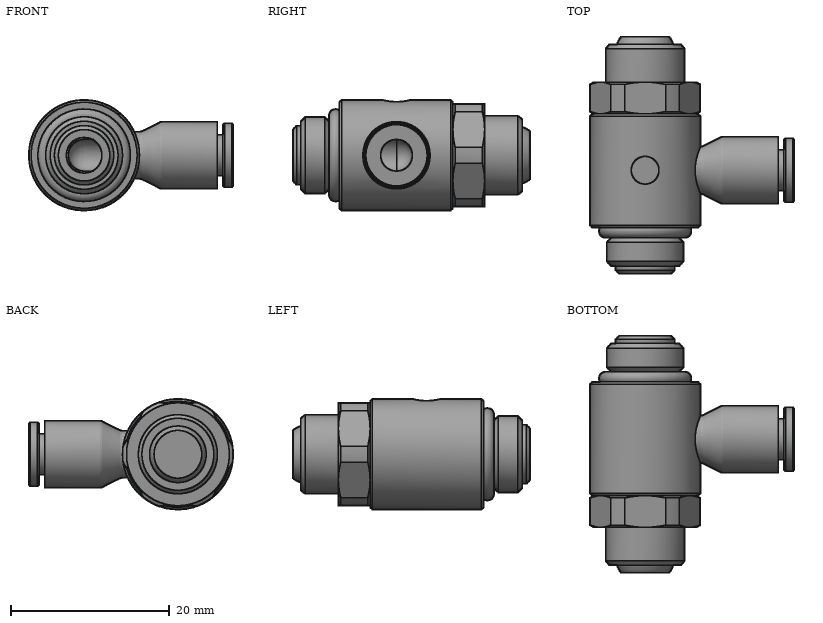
import cadquery as cq
import math


body_radius = 7.0
body_back_y = 7.13
body_front_y = -7.24
body_chamfer = 0.3

hex_across_flats = 13.0
hex_length = 4.0
hex_back_y = body_back_y + hex_length
hex_chamfer_angle = 30.0
hex_half_angle = 180.0 / 6

housing_radius = 5.0
housing_back_y = 15.9
housing_chamfer_width = 0.45
housing_chamfer_length = 0.55
screw_base_radius = 3.58
screw_shoulder_radius = 3.48
screw_shoulder_length = 0.25
screw_edge_radius = 3.25
screw_edge_length = 0.7
screw_tip_radius = 3.02
screw_length = 1.0
screw_back_y = housing_back_y + screw_length

ring_centre_radius = 5.0
ring_section_radius = 0.85
ring_centre_gap = 0.45

groove_radius = 4.2
stem_radius = 4.865
stem_back_y = -8.52
stem_front_y = -12.1
stem_chamfer = 0.57
nose_radius = 3.75
nose_chamfer = 0.5
nose_front_y = -13.11

branch_neck_radius = 3.0
branch_cone_start_x = 7.2
branch_cone_end_x = 9.7
branch_radius = 4.25
branch_end_x = 16.85
branch_blend_radius = 0.5

collar_neck_radius = 2.62
collar_radius = 4.07
collar_start_x = 17.54
collar_end_x = 18.84
collar_chamfer = 0.2

stem_bore_radius = 2.25
branch_bore_radius = 2.0

recess_radius = 1.75
recess_floor_z = 6.6


def revolve_about_y(points):
    """Solid of revolution about Y from (radius, y) points."""
    profile = cq.Workplane("XY").polyline(points).close()
    return profile.revolve(360, (0, 0, 0), (0, 1, 0))


def cylinder_along_x(radius, start_x, end_x):
    return cq.Workplane("YZ", origin=(start_x, 0, 0)).circle(radius).extrude(end_x - start_x)


def cylinder_along_y(radius, start_y, end_y):
    return cq.Workplane("XZ", origin=(0, end_y, 0)).circle(radius).extrude(end_y - start_y)


def make_body():
    body = cylinder_along_y(body_radius, body_front_y, body_back_y)
    return body.edges("%CIRCLE").chamfer(body_chamfer)


def make_hexagon():
    flat_distance = hex_across_flats / 2
    corner_diameter = hex_across_flats / math.cos(math.radians(hex_half_angle))
    prism = (
        cq.Workplane("XZ", origin=(0, hex_back_y, 0))
        .polygon(6, corner_diameter)
        .extrude(hex_length)
    )
    chamfer_width = body_radius - flat_distance
    chamfer_length = chamfer_width * math.tan(math.radians(hex_chamfer_angle))
    envelope = revolve_about_y([
        (0, body_back_y),
        (flat_distance, body_back_y),
        (body_radius, body_back_y + chamfer_length),
        (body_radius, hex_back_y - chamfer_length),
        (flat_distance, hex_back_y),
        (0, hex_back_y),
    ])
    return prism.intersect(envelope)


def make_housing_and_screw():
    return revolve_about_y([
        (0, body_back_y),
        (housing_radius, body_back_y),
        (housing_radius, housing_back_y - housing_chamfer_length),
        (housing_radius - housing_chamfer_width, housing_back_y),
        (screw_base_radius, housing_back_y),
        (screw_shoulder_radius, housing_back_y + screw_shoulder_length),
        (screw_edge_radius, housing_back_y + screw_edge_length),
        (screw_tip_radius, screw_back_y),
        (0, screw_back_y),
    ])


def make_sealing_ring():
    ring_y = body_front_y - ring_centre_gap
    section = cq.Workplane("XY").center(ring_centre_radius, ring_y).circle(ring_section_radius)
    return section.revolve(360, (-ring_centre_radius, 0, 0), (-ring_centre_radius, 1, 0))


def make_stem():
    groove = cylinder_along_y(groove_radius, stem_back_y, body_front_y)
    thread = cylinder_along_y(stem_radius, stem_front_y, stem_back_y)
    thread = thread.edges("%CIRCLE").chamfer(stem_chamfer)
    nose = cylinder_along_y(nose_radius, nose_front_y, stem_front_y)
    nose = nose.faces("<Y").chamfer(nose_chamfer)
    return groove.union(thread).union(nose)


def make_branch():
    profile = cq.Workplane("XY").polyline([
        (0, 0),
        (0, branch_neck_radius),
        (branch_cone_start_x, branch_neck_radius),
        (branch_cone_end_x, branch_radius),
        (branch_end_x, branch_radius),
        (branch_end_x, 0),
    ]).close()
    branch = profile.revolve(360, (0, 0, 0), (1, 0, 0))
    cone_face = branch.faces("%CONE")
    return branch.newObject(cone_face.edges("%CIRCLE").vals()).fillet(branch_blend_radius)


def make_collar():
    neck = cylinder_along_x(collar_neck_radius, branch_end_x, collar_start_x)
    flange = cylinder_along_x(collar_radius, collar_start_x, collar_end_x)
    return neck.union(flange.edges("%CIRCLE").chamfer(collar_chamfer))


def make_passage():
    stem_bore = cylinder_along_y(stem_bore_radius, nose_front_y, 0)
    elbow = cq.Workplane("XY").sphere(branch_bore_radius)
    branch_bore = cylinder_along_x(branch_bore_radius, 0, collar_end_x)
    return stem_bore.union(elbow).union(branch_bore)


def make_recess():
    disc = cq.Workplane("XY", origin=(0, 0, recess_floor_z)).circle(recess_radius)
    return disc.extrude(body_radius - recess_floor_z)


result = (
    make_body()
    .union(make_hexagon())
    .union(make_housing_and_screw())
    .union(make_stem())
    .union(make_sealing_ring())
    .union(make_branch())
    .union(make_collar())
    .cut(make_passage())
    .cut(make_recess())
)